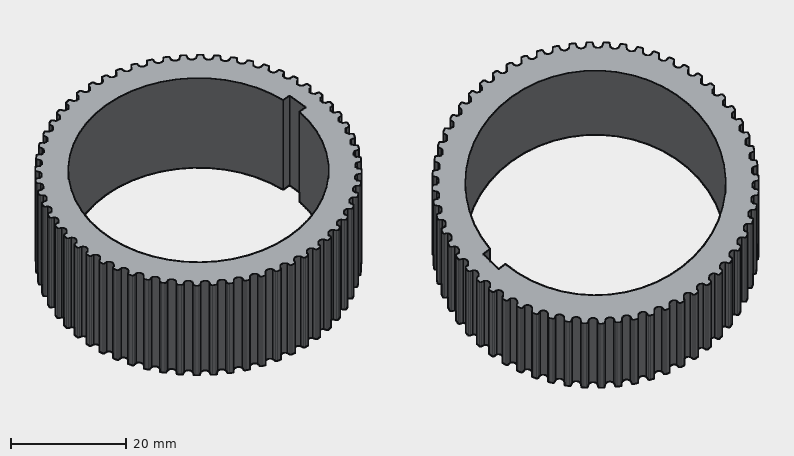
import cadquery as cq
import math

SIDE = 56.55
LENGTH = 22.0

BORE_DIAMETER = 45.1
KEYWAY_WIDTH = 4.0
KEYWAY_TOP = 24.0

TOOTH_COUNT = 60
GROOVE_DEPTH = 1.15
FLOOR_RISE = 0.4
FLOOR_WIDTH = 1.45
WALL_LEAN = 16.0
TIP_ROUNDING = 0.3

PITCH_ANGLE = 360.0 / TOOTH_COUNT
ROOT_RADIUS = SIDE / 2 - GROOVE_DEPTH
FLOOR_OUT = ROOT_RADIUS + FLOOR_RISE
FLOOR_ACROSS = FLOOR_WIDTH / 2

CORNER_OUT = SIDE / 2 - TIP_ROUNDING
LEAN = math.radians(WALL_LEAN)
CORNER_ACROSS = FLOOR_ACROSS + (CORNER_OUT - FLOOR_OUT) * math.tan(LEAN) + TIP_ROUNDING / math.cos(LEAN)
TIP_RADIUS = math.hypot(CORNER_OUT, CORNER_ACROSS) + TIP_ROUNDING
CORNER_ANGLE = math.degrees(math.atan2(CORNER_ACROSS, CORNER_OUT))


def turned(out, across, angle):
    """Point lying out along, and across from, the centre line of the groove at an angle."""
    turn = math.radians(angle)
    x = out * math.cos(turn) - across * math.sin(turn)
    y = out * math.sin(turn) + across * math.cos(turn)
    return (x, y)


def corner_point(degrees, side, angle):
    """Point on a rounded tooth corner; degrees are counted from straight out towards the groove."""
    sweep = math.radians(degrees)
    out = CORNER_OUT + TIP_ROUNDING * math.cos(sweep)
    across = CORNER_ACROSS - TIP_ROUNDING * math.sin(sweep)
    return turned(out, side * across, angle)


def toothed_disc():
    """Disc whose edge alternates round-bottomed grooves and teeth with rounded corners."""
    wall_end = 90.0 - WALL_LEAN
    tip_start = -CORNER_ANGLE
    corner_middle = (wall_end + tip_start) / 2

    outline = cq.Workplane("XY").moveTo(*corner_point(tip_start, -1, 0))
    for index in range(TOOTH_COUNT):
        angle = index * PITCH_ANGLE
        next_angle = angle + PITCH_ANGLE
        outline = (
            outline
            .threePointArc(corner_point(corner_middle, -1, angle), corner_point(wall_end, -1, angle))
            .lineTo(*turned(FLOOR_OUT, -FLOOR_ACROSS, angle))
            .threePointArc(turned(ROOT_RADIUS, 0, angle), turned(FLOOR_OUT, FLOOR_ACROSS, angle))
            .lineTo(*corner_point(wall_end, 1, angle))
            .threePointArc(corner_point(corner_middle, 1, angle), corner_point(tip_start, 1, angle))
            .threePointArc(
                turned(TIP_RADIUS, 0, angle + PITCH_ANGLE / 2),
                corner_point(tip_start, -1, next_angle),
            )
        )
    return outline.close().extrude(LENGTH)


def bore():
    """Round hole through the full length."""
    return cq.Workplane("XY").circle(BORE_DIAMETER / 2).extrude(LENGTH)


def keyway():
    """Square-cornered slot in the +Y side of the bore, through the full length."""
    return (
        cq.Workplane("XY")
        .center(0, KEYWAY_TOP / 2)
        .rect(KEYWAY_WIDTH, KEYWAY_TOP)
        .extrude(LENGTH)
    )


result = toothed_disc().cut(bore()).cut(keyway())